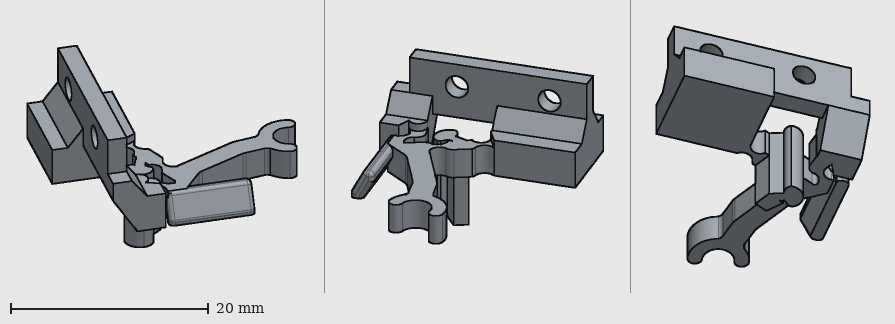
import cadquery as cq
import math

total_length = 25.45
total_width = 20.9
wall_top = 9.98
pin_depth = 5.4
arm_height = 3.15

foot_height = 4.0
gusset_top = 6.0
wall_front = 3.23
wall_back = 5.22
gusset_reach = 1.6
left_foot_back = 8.9
right_foot_back = 8.78
left_foot_width = 9.57
right_foot_left = 16.47
wall_step_x = 18.9
undercut_depth = 2.55

hinge_corner_x = 8.65
hinge_corner_y = 7.2
notch_point = (18.25, 7.4)

striker_start = (11.8, 8.17)
striker_back = (12.37, 10.6)

hole_diameter = 2.4
hole_z = 7.45
hole_positions_x = (4.0, 13.87)

fork_inner_radius = 1.63
fork_outer_radius = 3.13
fork_tip_radius = (fork_outer_radius - fork_inner_radius) / 2
fork_mid_radius = (fork_outer_radius + fork_inner_radius) / 2
fork_left_angle = math.radians(168)
fork_right_angle = math.radians(-14.5)
fork_x = 11.83
fork_y = total_length - fork_tip_radius - fork_mid_radius * math.sin(fork_left_angle)

slot_back = 9.45

bar_left = 18.43
bar_right = 20.85
bar_front = 9.25
bar_back = 18.22
bar_top_corner = 19.45
bar_crest_end = 19.16
bar_side_bottom = 2.04
bar_slope = math.radians(62)
bar_round = 0.5


def extrude_x(profile, start, end):
    """Extrude a closed list of (y, z) points along X."""
    return cq.Workplane("YZ", origin=(start, 0, 0)).polyline(profile).close().extrude(end - start)


def make_wall():
    profile = [
        (0, foot_height),
        (total_width, foot_height),
        (total_width, gusset_top),
        (wall_step_x, gusset_top),
        (wall_step_x, wall_top),
        (0, wall_top),
    ]
    wall = cq.Workplane("XZ", origin=(0, wall_back, 0)).polyline(profile).close()
    wall = wall.extrude(wall_back - wall_front)
    holes = cq.Workplane("XZ", origin=(0, wall_back, 0))
    holes = holes.pushPoints([(x, hole_z) for x in hole_positions_x]).circle(hole_diameter / 2)
    return wall.cut(holes.extrude(wall_back - wall_front))


def make_left_foot():
    profile = [
        (0, 0),
        (left_foot_back, 0),
        (left_foot_back, foot_height),
        (wall_back + gusset_reach, foot_height),
        (wall_back, gusset_top),
        (wall_front, gusset_top),
        (wall_front - gusset_reach, foot_height),
        (0, foot_height),
    ]
    corner = (
        cq.Workplane("XY")
        .moveTo(hinge_corner_x, left_foot_back)
        .lineTo(left_foot_width, left_foot_back)
        .lineTo(left_foot_width, hinge_corner_y)
        .close()
        .extrude(foot_height)
    )
    return extrude_x(profile, 0, left_foot_width).cut(corner)


def make_right_foot():
    profile = [
        (wall_front, foot_height),
        (wall_front + undercut_depth, 0),
        (right_foot_back, 0),
        (right_foot_back, foot_height),
        (wall_back + gusset_reach, foot_height),
        (wall_back, gusset_top),
        (wall_front, gusset_top),
    ]
    plan = (
        cq.Workplane("XY")
        .moveTo(right_foot_left, wall_front)
        .lineTo(right_foot_left, 6.87)
        .threePointArc((17.4, 7.86), notch_point)
        .lineTo(18.88, right_foot_back)
        .lineTo(total_width, right_foot_back)
        .lineTo(total_width, wall_front)
        .close()
        .extrude(gusset_top)
    )
    return extrude_x(profile, right_foot_left, total_width).intersect(plan)


def trace_striker(outline):
    """Continue an outline from striker_start around the rounded striker and into its hook."""
    return (
        outline.lineTo(13.18, 7.64)
        .threePointArc((13.18, 6.95), (13.6, 6.41))
        .threePointArc((14.9, 6.92), (15.32, 8.0))
        .threePointArc((15.12, 8.75), (14.63, 9.21))
        .lineTo(14.25, 9.21)
        .lineTo(13.65, 8.63)
        .lineTo(13.15, 8.78)
        .lineTo(13.62, 8.95)
    )


def make_arm():
    outline = (
        cq.Workplane("XY")
        .moveTo(hinge_corner_x, hinge_corner_y)
        .lineTo(left_foot_width, hinge_corner_y)
        .threePointArc((10.6, 8.27), (11.33, 7.95))
        .lineTo(*striker_start)
    )
    outline = trace_striker(outline)
    outline = (
        outline.threePointArc((13.92, 9.8), (14.63, 10.08))
        .threePointArc((15.12, 9.98), (15.52, 9.85))
        .lineTo(17.2, 10.6)
        .threePointArc((17.6, 10.66), (17.76, 10.28))
        .threePointArc((17.55, 9.57), (17.08, 9.2))
        .threePointArc((16.4, 8.85), (16.15, 8.27))
        .lineTo(16.4, wall_back + gusset_reach)
        .lineTo(notch_point[0], wall_back + gusset_reach)
        .lineTo(*notch_point)
        .lineTo(17.95, 7.91)
        .threePointArc((18.02, 9.09), (18.88, slot_back))
        .lineTo(bar_crest_end, slot_back)
    )
    outline = (
        outline.lineTo(bar_crest_end, 11.43)
        .lineTo(16.6, 13.39)
        .threePointArc((16.4, 13.62), (16.24, 13.87))
        .lineTo(14.0, 18.73)
        .lineTo(13.92, 19.1)
        .lineTo(13.62, 21.1)
        .threePointArc((13.62, 21.43), (13.8, 21.68))
        .lineTo(fork_x, fork_y - fork_mid_radius)
        .lineTo(10.66, 21.33)
        .threePointArc((11.0, 21.07), (11.15, 20.67))
        .lineTo(11.45, 18.7)
        .threePointArc((11.5, 18.48), (11.58, 18.25))
        .lineTo(14.6, 11.68)
    )
    outline = (
        outline.threePointArc((14.3, 10.8), (13.23, 10.55))
        .threePointArc((12.78, 10.7), striker_back)
        .lineTo(10.66, 9.87)
        .threePointArc((10.54, 9.7), (10.45, 9.5))
        .threePointArc((9.82, 8.7), (hinge_corner_x, left_foot_back))
        .close()
    )
    return outline.extrude(arm_height)


def make_fork():
    def on_circle(radius, angle):
        return (fork_x + radius * math.cos(angle), fork_y + radius * math.sin(angle))

    bottom = -math.pi / 2
    ring = (
        cq.Workplane("XY")
        .moveTo(*on_circle(fork_outer_radius, fork_left_angle))
        .threePointArc(on_circle(fork_outer_radius, bottom), on_circle(fork_outer_radius, fork_right_angle))
        .lineTo(*on_circle(fork_inner_radius, fork_right_angle))
        .threePointArc(on_circle(fork_inner_radius, bottom), on_circle(fork_inner_radius, fork_left_angle))
        .close()
        .extrude(arm_height)
    )
    tips = [on_circle(fork_mid_radius, angle) for angle in (fork_left_angle, fork_right_angle)]
    return ring.union(cq.Workplane("XY").pushPoints(tips).circle(fork_tip_radius).extrude(arm_height))


def make_pin():
    outline = cq.Workplane("XY", origin=(0, 0, -pin_depth)).moveTo(10.97, 10.0).lineTo(*striker_start)
    outline = trace_striker(outline)
    return outline.lineTo(*striker_back).close().extrude(pin_depth + arm_height)


def make_bar():
    fall = math.tan(bar_slope)
    right_side_top = arm_height - (bar_right - bar_top_corner) * fall
    bottom_left = bar_left + bar_side_bottom / fall
    profile = [
        (bar_left, bar_side_bottom),
        (bar_left, arm_height),
        (bar_top_corner, arm_height),
        (bar_right, right_side_top),
        (bar_right, 0),
        (bottom_left, 0),
    ]
    bar = cq.Workplane("XZ", origin=(0, bar_back, 0)).polyline(profile).close()
    bar = bar.extrude(bar_back - bar_front)
    bar = bar.faces(">X").edges(">Z").fillet(bar_round)
    bar = bar.faces(">Z").edges("|Y").fillet(bar_round)
    crest_width = bar_top_corner - bar_left
    crest_zone = cq.Workplane("XY").moveTo(bar_left, slot_back)
    crest_zone = crest_zone.rect(crest_width, bar_round, centered=False).extrude(arm_height)
    crest = bar.intersect(crest_zone)
    slot = cq.Workplane("XY").moveTo(bar_left, bar_front)
    slot = slot.rect(crest_width, slot_back - bar_front, centered=False).extrude(arm_height)
    bar = bar.faces("<Y or >Y").edges("not <Z").fillet(bar_round)
    return bar.cut(slot).union(crest)


result = (
    make_wall()
    .union(make_left_foot())
    .union(make_right_foot())
    .union(make_arm())
    .union(make_fork())
    .union(make_pin())
    .union(make_bar())
)